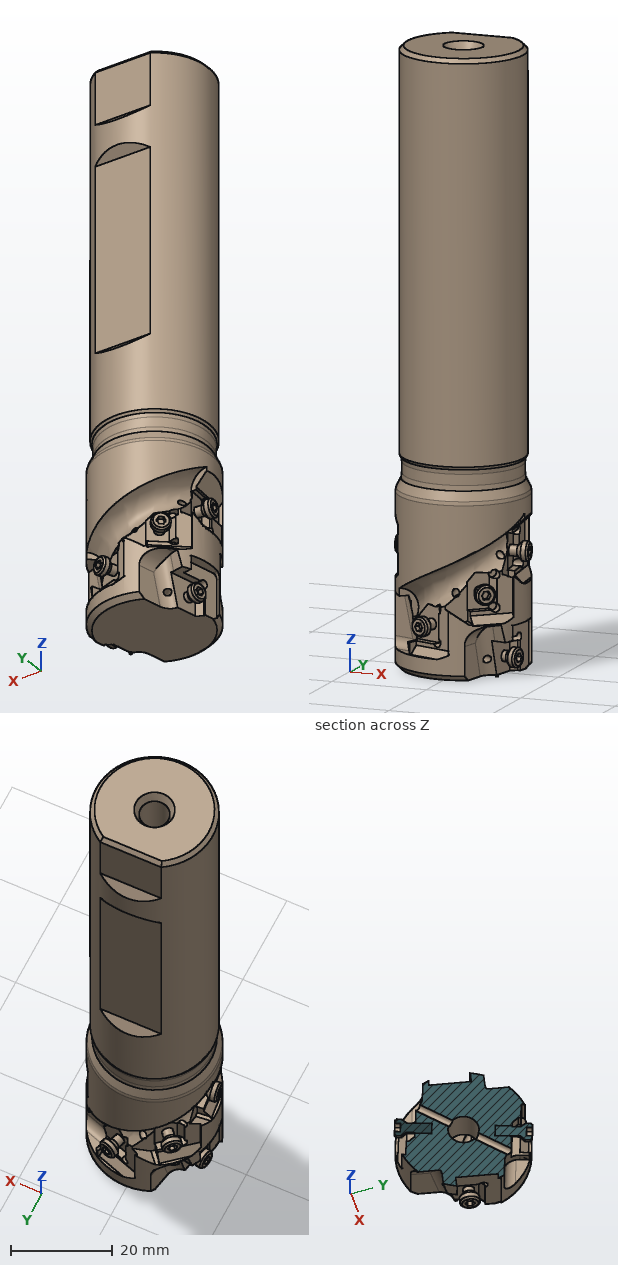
import cadquery as cq
import math

TOTAL_LENGTH = 125.8
SHANK_RADIUS = 12.7
HEAD_RADIUS = 13.5
TOP_CHAMFER = 0.9
FACE_CHAMFER = 1.1
FACE_Z = 0.4

NECK_RADIUS = 12.3
SHANK_END_Z = 43.5
NECK_TOP_Z = 42.9
NECK_BOTTOM_Z = 38.6
NECK_WAIST_RADIUS = 12.2
NECK_WAIST_TOP_Z = 42.0
NECK_WAIST_BOTTOM_Z = 39.8
HEAD_TOP_Z = 36.4
HEAD_SHOULDER_RADIUS = 1.8

FLAT_Y = 10.8
FLAT_RAMP = 1.9
UPPER_FLAT_BOTTOM_Z = 113.0
LOWER_FLAT_TOP_Z = 103.4
LOWER_FLAT_BOTTOM_Z = 60.8

BORE_RADIUS = 3.0
BORE_BOTTOM_Z = 4.4
BORE_MOUTH_RADIUS = 4.0
BORE_MOUTH_DEPTH = 1.8
DRILL_TIP_HEIGHT = 1.8
COOLANT_RADIUS = 0.8
COOLANT_OFFSET = -5.0
COOLANT_REACH = 9.5

FLUTE_ANGLES = (0, 180)
STATION_ANGLES = (169, 251, 311, 366)
FIRST_STATION_Z = 3.8
STATION_PITCH = 6.9
STATIONS = [(angle, FIRST_STATION_Z + i * STATION_PITCH) for i, angle in enumerate(STATION_ANGLES)]
FACE_STATION, LOW_STATION, MID_STATION, TOP_STATION = STATIONS

CLEAR_RADIUS = 16.4
SEAT_DISTANCE = 9.5
SEAT_LEFT = -2.6
SEAT_OPEN_LEFT = -6.3
SEAT_RIGHT = 3.1
SEAT_BELOW = 3.5
SEAT_ABOVE = 3.9
SEAT_SLOPE = 1.1
RELIEF_RADIUS = 0.9
RELIEF_INSET = 0.4
RELIEF_DEPTH = 0.5
LEDGE_DISTANCE = 11.2
LEDGE_RIGHT = 6.3
TOP_LEDGE_RIGHT = 7.0
LEDGE_BELOW = 6.0
LEDGE_ABOVE = 5.0
LEDGE_CORNER = 1.1
LEDGE_SLOPE = 1.6
FACE_LEDGE_ABOVE = 7.0

CROWN_DISTANCE = 10.6
CROWN_ABOVE = 7.5
CROWN_SLOPE = 3.0

APRON_DISTANCE = 9.8
APRON_OUTLINE = [(-2.5, -5.8), (-3.4, -5.8), (-7.8, -2.6), (-8.8, 1.3), (-2.5, 5.7)]

GULLET_LEFT = -12.6
GULLET_LEAN = 14.0
GULLET_WALL_ROUND = 2.8
LOW_GULLET_DISTANCE = 8.4
LOW_GULLET_ABOVE = 5.0
LOW_GULLET_ROUND = 2.0
FACE_GULLET_DISTANCE = 7.4
FACE_GULLET_ABOVE = 7.5
FACE_GULLET_ROUND = 3.8

FLUTE_RADIUS = 4.2
FLUTE_PATH_RADIUS = 13.6
FLUTE_RISE = 5.8
FLUTE_START_ANGLE = 222
FLUTE_END_ANGLE = 355
FLUTE_LEAD = STATION_PITCH * 360 / (MID_STATION[0] - LOW_STATION[0])

LIP_WIDTH = 0.4

SCREW_TIP = 6.3
SCREW_TOP = 13.6
HEAD_START = 11.2
CONE_HEIGHT = 1.0
SCREW_SHANK_RADIUS = 1.1
SCREW_HEAD_RADIUS = 2.0
SCREW_EDGE = 0.4
FACE_SCREW_DROP = 0.6
SOCKET_WIDTH = 1.9
SOCKET_DEPTH = 1.1


def place(shape, angle, z):
    """Move a shape made for a station at +X, Z = 0 to its own angle and height."""
    return shape.translate((0, 0, z)).rotate((0, 0, 0), (0, 0, 1), angle)


def radial_block(floor, left, right, bottom, top):
    """Block from a floor at a distance from the axis to outside the head."""
    return (
        cq.Workplane("XY")
        .box(CLEAR_RADIUS - floor, right - left, top - bottom, centered=False)
        .translate((floor, left, bottom))
    )


def make_blank():
    outline = [
        (0, FACE_Z),
        (HEAD_RADIUS - FACE_CHAMFER, FACE_Z),
        (HEAD_RADIUS, FACE_Z + FACE_CHAMFER),
        (HEAD_RADIUS, HEAD_TOP_Z),
        (NECK_RADIUS, NECK_BOTTOM_Z),
        (NECK_WAIST_RADIUS, NECK_WAIST_BOTTOM_Z),
        (NECK_WAIST_RADIUS, NECK_WAIST_TOP_Z),
        (NECK_RADIUS, NECK_TOP_Z),
        (SHANK_RADIUS, SHANK_END_Z),
        (SHANK_RADIUS, TOTAL_LENGTH),
        (0, TOTAL_LENGTH),
    ]
    blank = cq.Workplane("XZ").polyline(outline).close().revolve(360, (0, 0), (0, 1))
    shoulder = cq.NearestToPointSelector((0, 0, HEAD_TOP_Z))
    return blank.edges(shoulder).fillet(HEAD_SHOULDER_RADIUS)


def cut_flats(body):
    outer_y = FLAT_Y + FLAT_RAMP
    upper = [
        (FLAT_Y, TOTAL_LENGTH),
        (FLAT_Y, UPPER_FLAT_BOTTOM_Z),
        (outer_y, UPPER_FLAT_BOTTOM_Z - FLAT_RAMP),
        (outer_y, TOTAL_LENGTH),
    ]
    lower = [
        (FLAT_Y, LOWER_FLAT_TOP_Z),
        (FLAT_Y, LOWER_FLAT_BOTTOM_Z),
        (outer_y, LOWER_FLAT_BOTTOM_Z - FLAT_RAMP),
        (outer_y, LOWER_FLAT_TOP_Z + FLAT_RAMP),
    ]
    for outline in (upper, lower):
        body = body.cut(cq.Workplane("YZ").polyline(outline).close().extrude(SHANK_RADIUS, both=True))
    return body.faces(">Z").edges().chamfer(TOP_CHAMFER)


def make_bore():
    mouth_z = TOTAL_LENGTH - BORE_MOUTH_DEPTH
    outline = [
        (0, BORE_BOTTOM_Z - DRILL_TIP_HEIGHT),
        (BORE_RADIUS, BORE_BOTTOM_Z),
        (BORE_RADIUS, mouth_z),
        (BORE_MOUTH_RADIUS, TOTAL_LENGTH),
        (0, TOTAL_LENGTH),
    ]
    return cq.Workplane("XZ").polyline(outline).close().revolve(360, (0, 0), (0, 1))


def make_seat(left, below):
    block = radial_block(SEAT_DISTANCE, left, SEAT_RIGHT, -below, SEAT_ABOVE)
    return block.faces("<X").edges(">Y").chamfer(SEAT_SLOPE)


def make_corner_relief(corner_z):
    floor = SEAT_DISTANCE - RELIEF_DEPTH
    return (
        cq.Workplane("YZ", origin=(floor, SEAT_RIGHT - RELIEF_INSET, corner_z))
        .circle(RELIEF_RADIUS)
        .extrude(CLEAR_RADIUS - floor)
    )


def make_face_ledge():
    below = FACE_STATION[1]
    block = radial_block(LEDGE_DISTANCE, SEAT_LEFT, LEDGE_RIGHT, -below, FACE_LEDGE_ABOVE)
    return block.edges("|X and >Y and >Z").fillet(LEDGE_CORNER)


def make_sloped_ledge(right):
    block = radial_block(LEDGE_DISTANCE, SEAT_LEFT, right, -LEDGE_BELOW, LEDGE_ABOVE)
    block = block.faces("<X").edges("<Z").chamfer(LEDGE_SLOPE)
    return block.edges("|X and >Y").fillet(LEDGE_CORNER)


def make_crown():
    block = radial_block(CROWN_DISTANCE, SEAT_LEFT, TOP_LEDGE_RIGHT, 0, CROWN_ABOVE)
    block = block.faces("<X").edges(">Z").chamfer(CROWN_SLOPE)
    return block.edges("|X and >Y and >Z").fillet(LEDGE_CORNER)


def make_apron():
    return (
        cq.Workplane("YZ", origin=(APRON_DISTANCE, 0, 0))
        .polyline(APRON_OUTLINE)
        .close()
        .extrude(CLEAR_RADIUS - APRON_DISTANCE)
    )


def make_gullet(floor, below, above):
    """Chip space left of a seat, with a round foot along its leaning right wall."""
    lean = (below + above) * math.tan(math.radians(GULLET_LEAN))
    outline = [
        (GULLET_LEFT, -below),
        (SEAT_LEFT, -below),
        (SEAT_LEFT - lean, above),
        (GULLET_LEFT, above),
    ]
    block = cq.Workplane("YZ", origin=(floor, 0, 0)).polyline(outline).close().extrude(CLEAR_RADIUS - floor)
    return block.faces("<X").edges(">Y").fillet(GULLET_WALL_ROUND)


def make_low_gullet():
    size = (LEDGE_BELOW, LOW_GULLET_ABOVE)
    gullet = make_gullet(LOW_GULLET_DISTANCE, *size)
    envelope = radial_block(LOW_GULLET_DISTANCE, GULLET_LEFT, SEAT_LEFT, -size[0], size[1])
    return gullet.intersect(envelope.faces("<X").edges("<Z").fillet(LOW_GULLET_ROUND))


def make_face_gullet():
    size = (FACE_STATION[1], FACE_GULLET_ABOVE)
    gullet = make_gullet(FACE_GULLET_DISTANCE, *size)
    envelope = radial_block(FACE_GULLET_DISTANCE, GULLET_LEFT, SEAT_LEFT, -size[0], size[1])
    return gullet.intersect(envelope.faces("<X").edges(">Z").fillet(FACE_GULLET_ROUND))


def make_coolant_hole():
    length = math.hypot(COOLANT_REACH, COOLANT_OFFSET)
    turn = math.degrees(math.atan2(COOLANT_OFFSET, COOLANT_REACH))
    return cq.Workplane("YZ").circle(COOLANT_RADIUS).extrude(length).rotate((0, 0, 0), (0, 0, 1), turn)


def make_helical_flute():
    turn = FLUTE_END_ANGLE - FLUTE_START_ANGLE
    path = cq.Wire.makeHelix(FLUTE_LEAD, FLUTE_LEAD * turn / 360, FLUTE_PATH_RADIUS)
    flute = cq.Workplane("XZ", origin=(FLUTE_PATH_RADIUS, 0, 0)).circle(FLUTE_RADIUS).sweep(path, isFrenet=True)
    low_angle, low_z = LOW_STATION
    start_z = low_z + FLUTE_RISE - FLUTE_LEAD * (low_angle - FLUTE_START_ANGLE) / 360
    return place(flute, FLUTE_START_ANGLE, start_z)


def make_flute_cutters():
    """Everything that one flute removes from the head."""
    face_below = FACE_STATION[1]
    cutters = [make_helical_flute()]
    for station in STATIONS:
        cutters.append(place(make_coolant_hole(), *station))
        cutters.append(place(make_corner_relief(SEAT_ABOVE - RELIEF_INSET), *station))
    cutters.append(place(make_seat(SEAT_OPEN_LEFT, face_below), *FACE_STATION))
    cutters.append(place(make_face_ledge(), *FACE_STATION))
    cutters.append(place(make_face_gullet(), *FACE_STATION))
    cutters.append(place(make_low_gullet(), *LOW_STATION))
    for station in (LOW_STATION, MID_STATION, TOP_STATION):
        left = SEAT_OPEN_LEFT if station is LOW_STATION else SEAT_LEFT
        cutters.append(place(make_seat(left, SEAT_BELOW), *station))
        right = TOP_LEDGE_RIGHT if station is TOP_STATION else LEDGE_RIGHT
        cutters.append(place(make_sloped_ledge(right), *station))
        cutters.append(place(make_corner_relief(-SEAT_BELOW + RELIEF_INSET), *station))
    for station in (MID_STATION, TOP_STATION):
        cutters.append(place(make_apron(), *station))
    cutters.append(place(make_crown(), *TOP_STATION))
    return cutters


def make_lip():
    """Small lip at the foot of the left seat edge, reaching below the end face."""
    return (
        cq.Workplane("XY")
        .box(LIP_WIDTH, LIP_WIDTH, 2 * FACE_Z, centered=False)
        .translate((SEAT_DISTANCE - LIP_WIDTH, SEAT_LEFT, 0))
    )


def screw_outline():
    return [
        (SCREW_TIP, 0),
        (SCREW_TIP, SCREW_SHANK_RADIUS),
        (HEAD_START, SCREW_SHANK_RADIUS),
        (HEAD_START + CONE_HEIGHT, SCREW_HEAD_RADIUS),
        (SCREW_TOP - SCREW_EDGE, SCREW_HEAD_RADIUS),
        (SCREW_TOP, SCREW_HEAD_RADIUS - SCREW_EDGE),
        (SCREW_TOP, 0),
    ]


def make_screw_space():
    """Screw shape without its socket, lying along +X."""
    return cq.Workplane("XY").polyline(screw_outline()).close().revolve(360, (0, 0), (1, 0))


def make_screw():
    socket = (
        cq.Workplane("YZ", origin=(SCREW_TOP - SOCKET_DEPTH, 0, 0))
        .polygon(6, SOCKET_WIDTH)
        .extrude(SOCKET_DEPTH)
    )
    return make_screw_space().cut(socket)


def place_on_all_stations(shape):
    """One copy of a screw-shaped solid at every station of both flutes."""
    copies = []
    for flute_angle in FLUTE_ANGLES:
        for station in STATIONS:
            angle, z = station
            drop = FACE_SCREW_DROP if station is FACE_STATION else 0
            copies.append(place(shape.translate((-drop, 0, 0)), angle + flute_angle, z))
    return copies


def make_body():
    body = cut_flats(make_blank()).cut(make_bore())
    for flute_angle in FLUTE_ANGLES:
        for cutter in make_flute_cutters():
            body = body.cut(place(cutter, flute_angle, 0))
    for screw_space in place_on_all_stations(make_screw_space()):
        body = body.cut(screw_space)
    return body.union(place(make_lip(), FACE_STATION[0] + FLUTE_ANGLES[1], 0))


body = make_body()
screws = place_on_all_stations(make_screw())
result = cq.Compound.makeCompound([body.val(), *[screw.val() for screw in screws]])